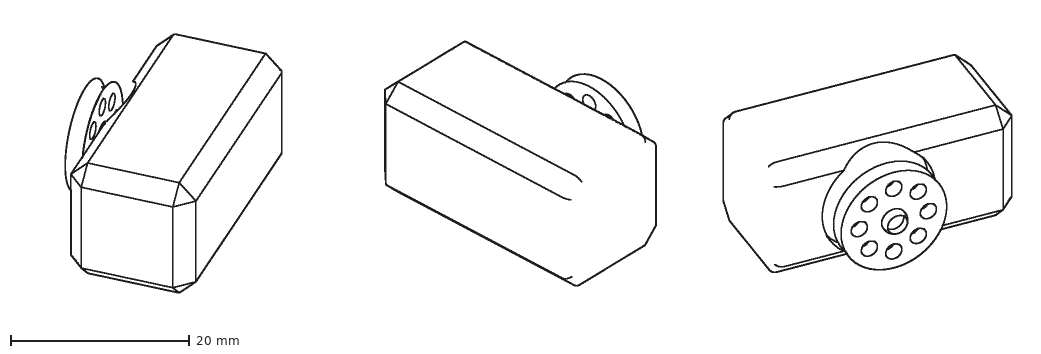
import cadquery as cq
import math

body_length = 30.0
body_side = 15.0
edge_chamfer = 2.0
back_round = 1.0

axis_y = 17.3
axis_z = body_side / 2

recess_radius = 7.0
recess_depth = 2.0

wheel_width = 2.0
wheel_radius = 6.5
wheel_gap = 2.0
hole_count = 8
hole_radius = 1.0
hole_circle_radius = 4.25

shaft_radius = 2.0
tip_length = 1.0
tip_radius = 1.5
tip_round = 1.0
tip_lip_angle = math.radians(45)
tip_bore_radius = tip_radius - tip_round * (1 - math.cos(tip_lip_angle))
tip_bore_depth = 1.0

wheel_start = tip_length
wheel_end = wheel_start + wheel_width
body_start = wheel_end + wheel_gap


def disc(start, length, radius, offset_y=0, offset_z=0):
    """Cylinder along X, placed relative to the pulley axis."""
    origin = cq.Vector(start, axis_y + offset_y, axis_z + offset_z)
    return cq.Workplane(cq.Solid.makeCylinder(radius, length, origin, cq.Vector(1, 0, 0)))


def make_body():
    block = cq.Workplane().box(body_side, body_length, body_side, centered=False)
    block = block.edges("|Y or <Y").chamfer(edge_chamfer)
    block = block.faces(">Y").edges().fillet(back_round)
    block = block.translate((body_start, 0, 0))
    return block.cut(disc(body_start, recess_depth, recess_radius))


def make_wheel():
    groove_bottom = wheel_radius - wheel_width / 2
    profile = (
        cq.Workplane()
        .moveTo(wheel_start, 0)
        .lineTo(wheel_start, wheel_radius)
        .threePointArc((wheel_start + wheel_width / 2, groove_bottom), (wheel_end, wheel_radius))
        .lineTo(wheel_end, 0)
        .close()
    )
    wheel = profile.revolve(360, (0, 0, 0), (1, 0, 0)).translate((0, axis_y, axis_z))
    for index in range(hole_count):
        angle = 2 * math.pi * index / hole_count
        offset_y = hole_circle_radius * math.cos(angle)
        offset_z = hole_circle_radius * math.sin(angle)
        wheel = wheel.cut(disc(wheel_start, wheel_width, hole_radius, offset_y, offset_z))
    return wheel


def make_shaft():
    return disc(wheel_end, wheel_gap + recess_depth, shaft_radius)


def make_tip():
    """Tip whose side curves in to a sharp lip at the mouth of the bore."""
    def rounding_point(angle):
        x = tip_round * (math.sin(tip_lip_angle) - math.sin(angle))
        return x, tip_radius - tip_round * (1 - math.cos(angle))

    profile = (
        cq.Workplane()
        .lineTo(*rounding_point(tip_lip_angle))
        .threePointArc(rounding_point(tip_lip_angle / 2), rounding_point(0))
        .lineTo(tip_length, tip_radius)
        .lineTo(tip_length, 0)
        .close()
    )
    return profile.revolve(360, (0, 0, 0), (1, 0, 0)).translate((0, axis_y, axis_z))


result = make_body().union(make_shaft()).union(make_wheel()).union(make_tip())
result = result.cut(disc(0, tip_bore_depth, tip_bore_radius))